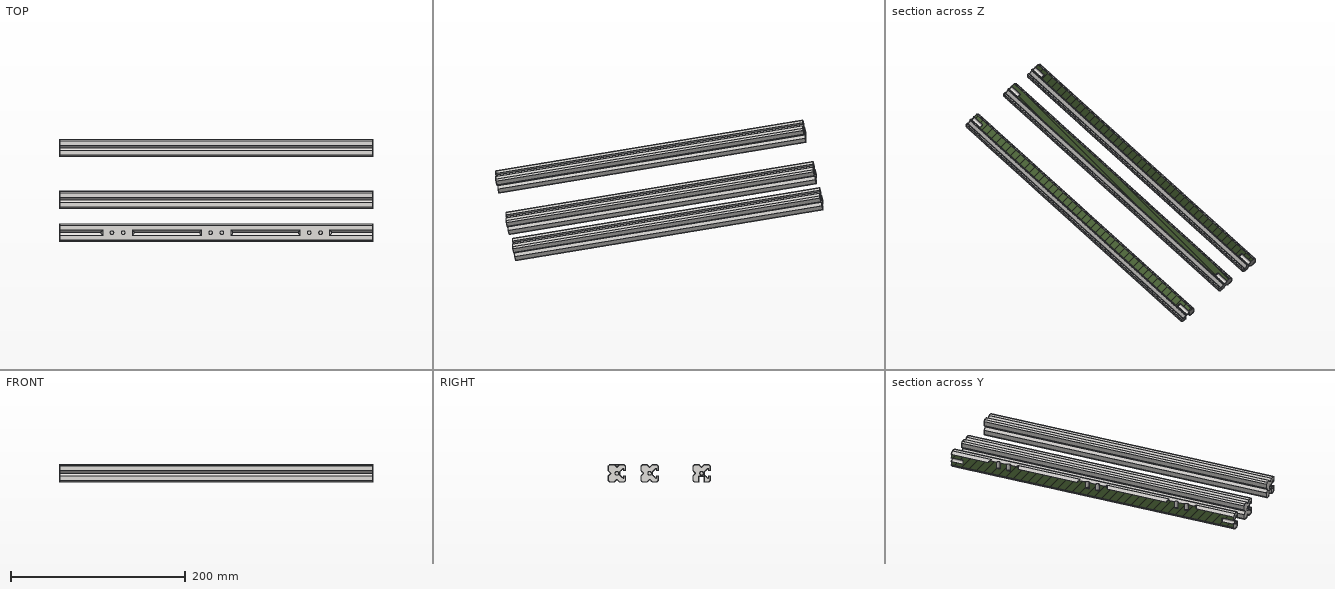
import cadquery as cq

BAR_LENGTH = 360.0
BAR_SIZE = 20.0
HALF_SIZE = BAR_SIZE / 2
CORNER_CHAMFER = 1.75
TOTAL_WIDTH = 117.26
SLOTTED_BAR_Y = (TOTAL_WIDTH - BAR_SIZE) / 2
DRILLED_BAR_Y = -SLOTTED_BAR_Y
PLAIN_TO_DRILLED = 37.61
PLAIN_BAR_Y = DRILLED_BAR_Y + PLAIN_TO_DRILLED

OPENING_WIDTH = 6.0
OPENING_HALF = OPENING_WIDTH / 2

GROOVE_DEPTH = OPENING_HALF

LIP_THICKNESS = 2.2
UNDERCUT_WIDTH = 11.0
UNDERCUT_DEPTH = LIP_THICKNESS + 0.6
SLOT_DEPTH = 6.7
SLOT_BACK_WIDTH = 3.6

BORE_DIAMETER = 4.3
BORE_DEPTH = 15.0

BOTTOM_SLOT_DEPTH = 6.6

FILL_COUNT = 3
FILL_LENGTH = 34.0
FILL_END_CHAMFER = 1.9
FILL_PITCH = (BAR_LENGTH - BAR_SIZE) / FILL_COUNT
FILL_CENTRES = [(i - (FILL_COUNT - 1) / 2) * FILL_PITCH for i in range(FILL_COUNT)]
HOLE_SPACING = 13.0
HOLE_DIAMETER = 4.2
HOLE_DEPTH = 8.0


def prism_along_x(points):
    """Full-length prism with the given (y, z) outline."""
    return cq.Workplane("YZ").polyline(points).close().extrude(BAR_LENGTH / 2, both=True)


def groove_cutter(angle):
    """V-groove of the top side, turned about X by the angle to reach another side."""
    points = [
        (-OPENING_HALF, HALF_SIZE),
        (0, HALF_SIZE - GROOVE_DEPTH),
        (OPENING_HALF, HALF_SIZE),
    ]
    return prism_along_x(points).rotate((0, 0, 0), (1, 0, 0), angle)


def t_slot_cutter():
    lip_y = HALF_SIZE - LIP_THICKNESS
    upper = [
        (HALF_SIZE, OPENING_HALF),
        (lip_y, OPENING_HALF),
        (lip_y, UNDERCUT_WIDTH / 2),
        (HALF_SIZE - UNDERCUT_DEPTH, UNDERCUT_WIDTH / 2),
        (HALF_SIZE - SLOT_DEPTH, SLOT_BACK_WIDTH / 2),
    ]
    lower = [(y, -z) for y, z in reversed(upper)]
    return prism_along_x(upper + lower)


def end_bore_cutters():
    start = cq.Workplane("YZ", origin=(-BAR_LENGTH / 2, 0, 0))
    start = start.circle(BORE_DIAMETER / 2).extrude(BORE_DEPTH)
    return start.add(start.mirror("YZ")).combine()


def basic_bar():
    """Bar with everything the three share: all but the top groove."""
    bar = cq.Workplane("XY").box(BAR_LENGTH, BAR_SIZE, BAR_SIZE)
    bar = bar.edges("|X").chamfer(CORNER_CHAMFER)
    bar = bar.cut(t_slot_cutter())
    for angle in (90, 180):
        bar = bar.cut(groove_cutter(angle))
    return bar.cut(end_bore_cutters())


def make_plain_bar():
    return basic_bar().cut(groove_cutter(0))


def make_slotted_bar():
    slot = cq.Workplane("XY").box(BAR_LENGTH, OPENING_WIDTH, BOTTOM_SLOT_DEPTH)
    slot = slot.translate((0, 0, BOTTOM_SLOT_DEPTH / 2 - HALF_SIZE))
    return make_plain_bar().cut(slot)


def fill_block():
    """Block that interrupts the groove, its end faces sloping outward at 45 degrees below the top."""
    top_x = FILL_LENGTH / 2
    foot_x = top_x + FILL_END_CHAMFER
    slope_z = HALF_SIZE - FILL_END_CHAMFER
    points = [
        (-top_x, HALF_SIZE),
        (top_x, HALF_SIZE),
        (foot_x, slope_z),
        (foot_x, 0),
        (-foot_x, 0),
        (-foot_x, slope_z),
    ]
    return cq.Workplane("XZ").polyline(points).close().extrude(HALF_SIZE, both=True)


def make_drilled_bar():
    groove = groove_cutter(0)
    for x in FILL_CENTRES:
        groove = groove.cut(fill_block().translate((x, 0, 0)))
    hole_points = [(x + side * HOLE_SPACING / 2, 0) for x in FILL_CENTRES for side in (-1, 1)]
    holes = (
        cq.Workplane("XY", origin=(0, 0, HALF_SIZE))
        .pushPoints(hole_points)
        .circle(HOLE_DIAMETER / 2)
        .extrude(-HOLE_DEPTH)
    )
    return basic_bar().cut(groove).cut(holes)


slotted_bar = make_slotted_bar().translate((0, SLOTTED_BAR_Y, 0))
plain_bar = make_plain_bar().translate((0, PLAIN_BAR_Y, 0))
drilled_bar = make_drilled_bar().translate((0, DRILLED_BAR_Y, 0))

result = cq.Compound.makeCompound([slotted_bar.val(), plain_bar.val(), drilled_bar.val()])